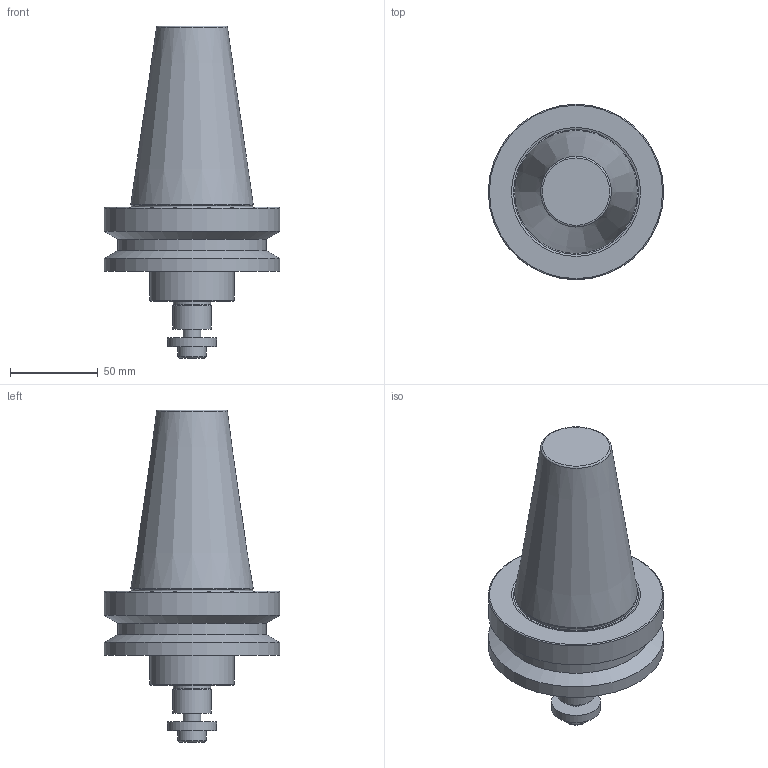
import cadquery as cq
import math


taper_gauge_diameter = 69.85
taper_length = 101.8
taper_ratio = 7 / 24
taper_tip_fillet = 1.0

relief_diameter = 69.25
relief_floor_diameter = 71.2
relief_mouth_diameter = 73.5
relief_side_angle = 20.0
gauge_land_height = 0.2
relief_lead = 0.7

flange_diameter = 99.97
flange_top_z = -1.5
flange_bottom_z = -38.0
flange_edge_fillet = 0.6
gripper_diameter = 85.0
gripper_center_z = -23.0
gripper_floor_width = 6.7
gripper_flank_angle = 30.0

seat_diameter = 48.0
seat_bottom_z = -55.0
seat_fillet = 0.5

undercut_diameter = 21.29
undercut_bottom_z = -57.0
pilot_diameter = 21.99
pilot_bottom_z = -71.0
pilot_chamfer_height = 0.6

screw_shank_diameter = 10.0
screw_collar_diameter = 28.0
screw_collar_top_z = -76.0
screw_collar_bottom_z = -81.0
screw_head_diameter = 16.0
screw_head_bottom_z = -87.5
screw_head_fillet = 1.0


def revolve_profile(points):
    """Turn a closed (radius, z) outline about the Z axis."""
    return cq.Workplane("XZ").polyline(points).close().revolve(360, (0, 0, 0), (0, 1, 0))


def cylinder(diameter, bottom_z, top_z):
    """Solid cylinder on the Z axis between two heights."""
    return cq.Workplane("XY").workplane(offset=bottom_z).circle(diameter / 2).extrude(top_z - bottom_z)


def make_taper():
    gauge_radius = taper_gauge_diameter / 2
    tip_radius = gauge_radius - taper_length * taper_ratio / 2
    relief_radius = relief_diameter / 2
    taper = revolve_profile([
        (0, flange_bottom_z),
        (relief_radius, flange_bottom_z),
        (relief_radius, -relief_lead),
        (gauge_radius, -gauge_land_height),
        (gauge_radius, 0),
        (tip_radius, taper_length),
        (0, taper_length),
    ])
    return taper.faces(">Z").edges().fillet(taper_tip_fillet)


def make_flange():
    flange = cylinder(flange_diameter, flange_bottom_z, flange_top_z)
    flange = flange.faces(">Z").edges().fillet(flange_edge_fillet)
    return flange.cut(make_relief_groove()).cut(make_gripper_groove())


def make_relief_groove():
    floor_radius = relief_floor_diameter / 2
    mouth_radius = relief_mouth_diameter / 2
    depth = (mouth_radius - floor_radius) * math.tan(math.radians(relief_side_angle))
    floor_z = flange_top_z - depth
    return revolve_profile([
        (0, floor_z),
        (floor_radius, floor_z),
        (mouth_radius, flange_top_z),
        (0, flange_top_z),
    ])


def make_gripper_groove():
    floor_radius = gripper_diameter / 2
    rim_radius = flange_diameter / 2
    half_floor = gripper_floor_width / 2
    half_mouth = half_floor + (rim_radius - floor_radius) * math.tan(math.radians(gripper_flank_angle))
    return revolve_profile([
        (floor_radius, gripper_center_z - half_floor),
        (rim_radius, gripper_center_z - half_mouth),
        (rim_radius, gripper_center_z + half_mouth),
        (floor_radius, gripper_center_z + half_floor),
    ])


def make_seat():
    seat = cylinder(seat_diameter, seat_bottom_z, flange_bottom_z)
    return seat.faces("<Z").edges().fillet(seat_fillet)


def make_pilot():
    undercut = cylinder(undercut_diameter, undercut_bottom_z, seat_bottom_z)
    pilot = cylinder(pilot_diameter, pilot_bottom_z, undercut_bottom_z)
    shoulder_width = (pilot_diameter - undercut_diameter) / 2
    pilot = pilot.faces(">Z").edges().chamfer(pilot_chamfer_height, shoulder_width)
    return undercut.union(pilot)


def make_screw():
    shank = cylinder(screw_shank_diameter, screw_collar_top_z, pilot_bottom_z)
    collar = cylinder(screw_collar_diameter, screw_collar_bottom_z, screw_collar_top_z)
    head = cylinder(screw_head_diameter, screw_head_bottom_z, screw_collar_bottom_z)
    head = head.faces("<Z").edges().fillet(screw_head_fillet)
    return shank.union(collar).union(head)


result = make_flange().union(make_taper()).union(make_seat()).union(make_pilot()).union(make_screw())